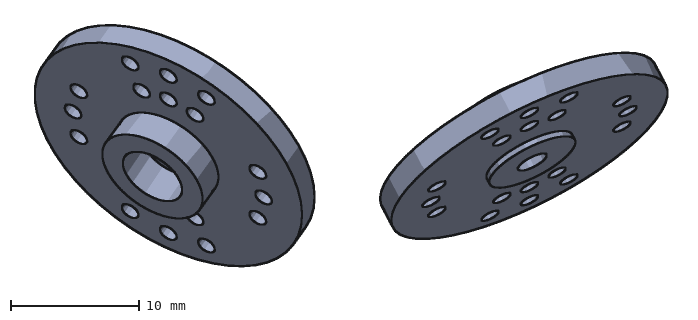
import cadquery as cq

disc_diameter = 24
disc_thickness = 2.0
hub_diameter = 9.0
hub_height = 2.5
back_boss_diameter = 7.5
back_boss_height = 0.5
bore_diameter = 2.5
counterbore_diameter = 5.3
counterbore_depth = 3.0

hole_diameter = 1.5
hole_angle_step = 20
outer_row_radius = 10.0
inner_row_radius = 7.0
side_row_radius = 8.55
hole_rows = [
    (0, side_row_radius),
    (90, inner_row_radius),
    (90, outer_row_radius),
    (180, side_row_radius),
    (270, inner_row_radius),
    (270, outer_row_radius),
]

hub_front = -hub_height
disc_back = disc_thickness
total_depth = hub_height + disc_thickness + back_boss_height


def cylinder(diameter, front, length):
    """Cylinder about the Y axis, running toward +Y from its front face."""
    plane = cq.Workplane("XZ", origin=(0, front, 0))
    return plane.circle(diameter / 2).extrude(-length)


def row_of_holes(middle_angle, radius):
    """Three cutters on one pitch circle, spaced evenly about the middle angle."""
    return (
        cq.Workplane("XZ")
        .polarArray(radius, middle_angle - hole_angle_step, 2 * hole_angle_step, 3)
        .circle(hole_diameter / 2)
        .extrude(-disc_thickness)
    )


body = cylinder(disc_diameter, 0, disc_thickness)
body = body.union(cylinder(hub_diameter, hub_front, hub_height))
body = body.union(cylinder(back_boss_diameter, disc_back, back_boss_height))

body = body.cut(cylinder(bore_diameter, hub_front, total_depth))
body = body.cut(cylinder(counterbore_diameter, hub_front, counterbore_depth))

for middle_angle, radius in hole_rows:
    body = body.cut(row_of_holes(middle_angle, radius))

result = body